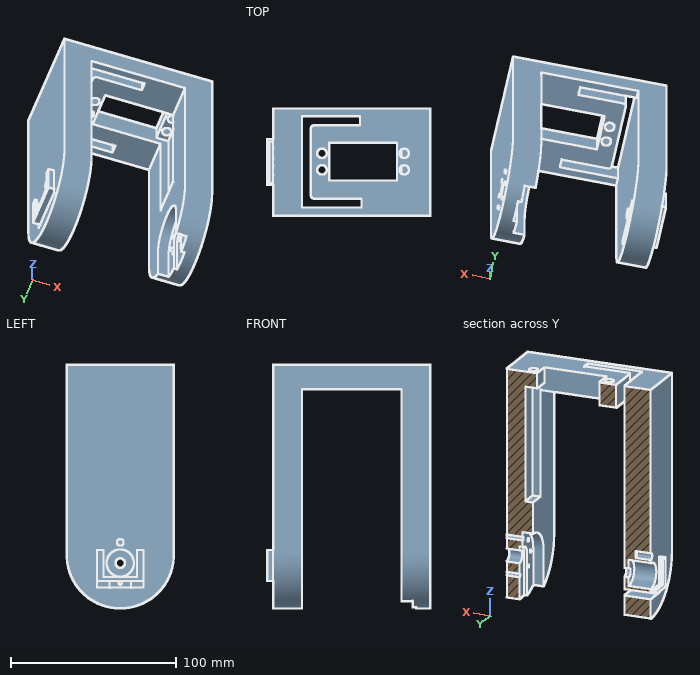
import cadquery as cq
import math

BODY_LENGTH = 95.0
BODY_WIDTH = 65.0
BODY_TOP = 115.0
END_RADIUS = BODY_WIDTH / 2
LEG_THICKNESS = 17.5
BRIDGE_THICKNESS = 15.0
BRIDGE_BOTTOM = BODY_TOP - BRIDGE_THICKNESS
RIGHT_LEG_FACE = BODY_LENGTH - LEG_THICKNESS
MARGIN = 1.0

SERVO_X = 54.4
SERVO_Y = 0.3
SERVO_LENGTH = 40.9
SERVO_WIDTH = 22.7
SCREW_DIAMETER = 5.6
SCREW_SPACING_X = 49.8
SCREW_SPACING_Y = 10.0

SLOT_WIDTH = 5.2
SLOT_Y_MAX = 27.6
SLOT_Y_MIN = -27.4
SLOT_BACK_ARM_END = 52.4
SLOT_FRONT_ARM_END = 53.4
SLOT_CORNER_RADIUS = 2.15

CLEARANCE_DEPTH = 5.0
CLEARANCE_BOTTOM = 31.4
CLEARANCE_TOP = 105.0

PIVOT_Z = -5.0

BEARING_DIAMETER = 16.5
BEARING_DEPTH = 14.5
AXLE_DIAMETER = 5.6
PIN_DIAMETER = 4.05
PIN_OFFSET = 12.5
PIN_DEPTH = 10.0
GUIDE_HEIGHT = 3.6
GUIDE_WIDTH = 28.0
GUIDE_TOP = 3.0
GUIDE_BOTTOM = -16.0
GUIDE_LIP_THICKNESS = 1.4
GUIDE_LIP_OVERHANG = 2.25
GUIDE_LIP_HEIGHT = 2.6
GUIDE_WALL = 1.5
WIRE_SLOT_HEIGHT = 3.8

HORN_RADIUS = 16.1
HORN_DEPTH = 6.8
ARM_RADIUS = 6.65
ARM_DEPTH = 2.1
HUB_DIAMETER = 8.0
HORN_HOLE_DIAMETER = 2.0
HORN_HOLE_CIRCLE_RADIUS = 12.0
HORN_HOLE_COUNT = 8


def block(x_min, x_max, y_min, y_max, z_min, z_max):
    """Box given by its limits along each axis."""
    box = cq.Workplane("XY").box(x_max - x_min, y_max - y_min, z_max - z_min, centered=False)
    return box.translate((x_min, y_min, z_min))


def cylinder_x(diameter, x_min, x_max, y, z):
    """Cylinder along X."""
    return cq.Workplane("YZ", origin=(x_min, y, z)).circle(diameter / 2).extrude(x_max - x_min)


def arch(radius, x_min, x_max):
    """Round-topped slot about the pivot axis, open at the bottom of the leg."""
    top = cylinder_x(2 * radius, x_min, x_max, 0, PIVOT_Z)
    return top.union(block(x_min, x_max, -radius, radius, -END_RADIUS - MARGIN, PIVOT_Z))


def fork_body():
    """U-shaped fork: two round-ended legs joined by the bridge."""
    upper = block(0, BODY_LENGTH, -BODY_WIDTH / 2, BODY_WIDTH / 2, 0, BODY_TOP)
    body = upper.union(cylinder_x(2 * END_RADIUS, 0, BODY_LENGTH, 0, 0))
    gap = block(
        LEG_THICKNESS, RIGHT_LEG_FACE,
        -BODY_WIDTH / 2 - MARGIN, BODY_WIDTH / 2 + MARGIN,
        -END_RADIUS - MARGIN, BRIDGE_BOTTOM,
    )
    return body.cut(gap)


def c_slot():
    """C-shaped slot through the bridge, starting flush with the left leg's inner face."""
    bottom = BRIDGE_BOTTOM - MARGIN
    top = BODY_TOP + MARGIN
    back = block(LEG_THICKNESS, SLOT_BACK_ARM_END, 0, SLOT_Y_MAX, bottom, top)
    front = block(LEG_THICKNESS, SLOT_FRONT_ARM_END, SLOT_Y_MIN, 0, bottom, top)
    tongue = block(
        LEG_THICKNESS + SLOT_WIDTH, SLOT_FRONT_ARM_END + SLOT_WIDTH,
        SLOT_Y_MIN + SLOT_WIDTH, SLOT_Y_MAX - SLOT_WIDTH, bottom, top,
    )
    tongue = tongue.edges("|Z and <X").fillet(SLOT_CORNER_RADIUS)
    return back.union(front).cut(tongue)


def servo_opening():
    """Rectangular servo opening with its four screw holes."""
    bottom = BRIDGE_BOTTOM - MARGIN
    height = BODY_TOP + MARGIN - bottom
    plane = cq.Workplane("XY", origin=(SERVO_X, SERVO_Y, bottom))
    window = plane.rect(SERVO_LENGTH, SERVO_WIDTH).extrude(height)
    screws = plane.rect(SCREW_SPACING_X, SCREW_SPACING_Y, forConstruction=True).vertices()
    return window.union(screws.circle(SCREW_DIAMETER / 2).extrude(height))


def clearance_pocket():
    """Pocket that undercuts the servo opening's +X end and sinks into the right leg."""
    return block(
        SERVO_X, RIGHT_LEG_FACE + CLEARANCE_DEPTH,
        SERVO_Y - SERVO_WIDTH / 2, SERVO_Y + SERVO_WIDTH / 2,
        CLEARANCE_BOTTOM, CLEARANCE_TOP,
    )


def cover_guide():
    """U-shaped guide on the left leg with an undercut channel, open at the top."""
    half_width = GUIDE_WIDTH / 2
    guide = block(-GUIDE_HEIGHT, 0, -half_width, half_width, GUIDE_BOTTOM, GUIDE_TOP)
    channel_half = half_width - GUIDE_WALL
    lip_start = GUIDE_LIP_THICKNESS - GUIDE_HEIGHT
    channel = block(
        lip_start, 0, -channel_half, channel_half,
        GUIDE_BOTTOM + GUIDE_WALL, GUIDE_TOP + MARGIN,
    )
    mouth_half = channel_half - GUIDE_LIP_OVERHANG
    mouth_bottom = GUIDE_BOTTOM + GUIDE_LIP_HEIGHT
    mouth = block(
        -GUIDE_HEIGHT - MARGIN, lip_start, -mouth_half, mouth_half,
        mouth_bottom, GUIDE_TOP + MARGIN,
    )
    return guide.cut(channel).cut(mouth)


def left_leg_cuts():
    """Bearing bore, axle hole, blind pin hole and wire slot of the left leg."""
    through = LEG_THICKNESS + MARGIN
    bearing = cylinder_x(BEARING_DIAMETER, -MARGIN, BEARING_DEPTH, 0, PIVOT_Z)
    axle = cylinder_x(AXLE_DIAMETER, 0, through, 0, PIVOT_Z)
    pin = cylinder_x(PIN_DIAMETER, -MARGIN, PIN_DEPTH, 0, PIVOT_Z + PIN_OFFSET)
    wire_slot = block(
        -MARGIN, through, -GUIDE_WIDTH / 2, GUIDE_WIDTH / 2,
        GUIDE_BOTTOM - WIRE_SLOT_HEIGHT, GUIDE_BOTTOM,
    )
    return bearing.union(axle).union(pin).union(wire_slot)


def horn_seat():
    """Stepped servo-horn seat in the right leg with its hub and screw holes."""
    seat_floor = RIGHT_LEG_FACE + HORN_DEPTH
    through = BODY_LENGTH + MARGIN
    seat = arch(HORN_RADIUS, RIGHT_LEG_FACE - MARGIN, seat_floor)
    seat = seat.union(arch(ARM_RADIUS, seat_floor - MARGIN, seat_floor + ARM_DEPTH))
    seat = seat.union(cylinder_x(HUB_DIAMETER, seat_floor, through, 0, PIVOT_Z))
    for index in range(HORN_HOLE_COUNT):
        angle = 2 * math.pi * index / HORN_HOLE_COUNT
        y = HORN_HOLE_CIRCLE_RADIUS * math.cos(angle)
        z = PIVOT_Z + HORN_HOLE_CIRCLE_RADIUS * math.sin(angle)
        seat = seat.union(cylinder_x(HORN_HOLE_DIAMETER, seat_floor - MARGIN, through, y, z))
    return seat


result = fork_body().cut(c_slot()).cut(servo_opening()).cut(clearance_pocket())
result = result.cut(left_leg_cuts()).cut(horn_seat()).union(cover_guide())